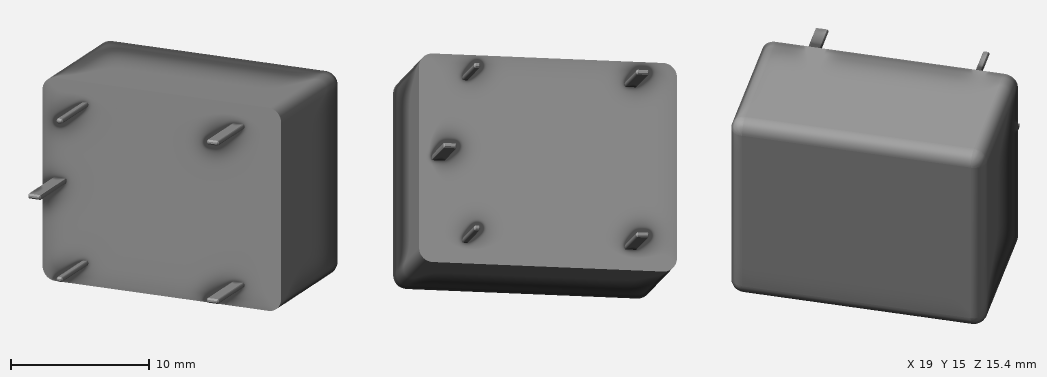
import cadquery as cq

body_width = 19.0
body_depth = 10.49
body_height = 15.4
corner_radius = 1.0
back_edge_radius = 0.99

pin_length = 4.5
pin_thickness = 0.36
tip_chamfer = 0.11
tip_angle = 45
side_bulge = 0.1
common_pin_bulge = 0.04

common_pin_width = 1.0
contact_pin_width = 0.97
coil_pin_width = 0.5

common_pin_x = -8.1
pin_column_x = 6.1
pin_row_z = 6.0


def make_housing():
    """Box rounded along its depth and around its back face."""
    box = cq.Workplane("XY").box(body_width, body_depth, body_height)
    box = box.translate((0, body_depth / 2, 0))
    return box.edges("|Y").fillet(corner_radius).faces(">Y").edges().fillet(back_edge_radius)


def make_pin(x, z, width, bulge):
    """Pin with a chamfered tip, its two narrow sides bowed outward by bulge."""
    half_flat = width / 2 - bulge
    half_thickness = pin_thickness / 2
    profile = cq.Workplane("XZ", origin=(x, 0, z)).moveTo(-half_flat, -half_thickness)
    profile = profile.lineTo(half_flat, -half_thickness)
    profile = profile.threePointArc((width / 2, 0), (half_flat, half_thickness))
    profile = profile.lineTo(-half_flat, half_thickness)
    profile = profile.threePointArc((-width / 2, 0), (-half_flat, -half_thickness))
    profile = profile.close()
    shank = profile.extrude(pin_length - tip_chamfer)
    tip = shank.faces("<Y").wires().toPending().workplane().extrude(
        tip_chamfer, combine=False, taper=tip_angle)
    return shank.union(tip)


result = make_housing()
result = result.union(make_pin(common_pin_x, 0, common_pin_width, common_pin_bulge))
for row_z in (-pin_row_z, pin_row_z):
    result = result.union(make_pin(-pin_column_x, row_z, coil_pin_width, side_bulge))
    result = result.union(make_pin(pin_column_x, row_z, contact_pin_width, side_bulge))